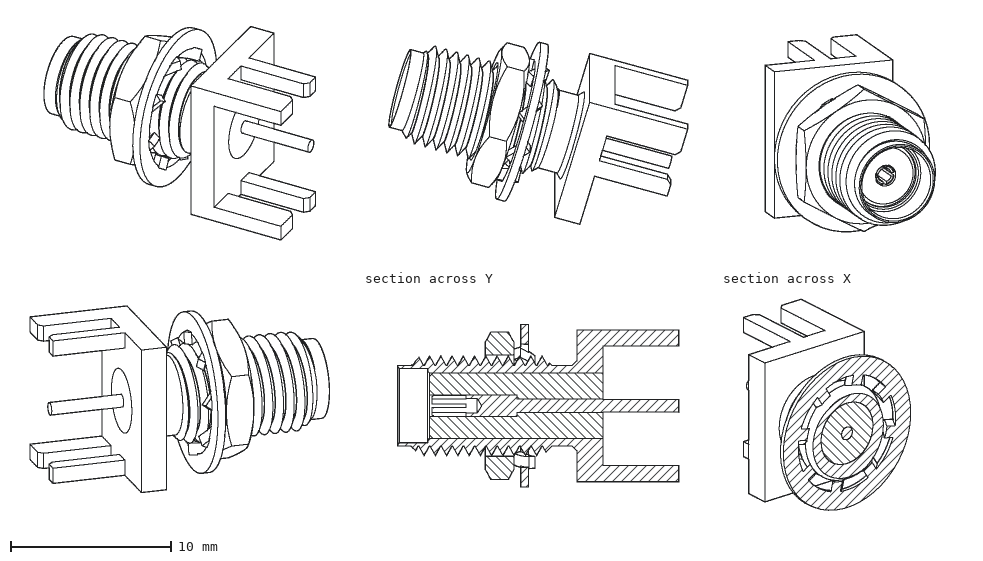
import cadquery as cq
import math

OVERALL_LENGTH = 17.58

BARREL_RADIUS = 5.05 / 2
RIM_RADIUS = 2.43
SOCKET_RADIUS = 2.3
SOCKET_DEPTH = 1.88
INSULATOR_RADIUS = 2.04
LEDGE_CHAMFER = 0.1
FLARE = 0.3

THREAD_PITCH = 0.7
THREAD_RADIUS = 3.13
THREAD_START = 0.83
THREAD_END = 9.65
THREAD_CREST_X = 0.25
ROOT_GAP = 0.01
ROOT_OVERLAP = 0.02

FLANGE_X = 11.2
FLANGE_THICKNESS = 1.65
FLANGE_WIDTH = 7.91
FLANGE_HEIGHT = 9.5
LEG_THICKNESS = 1.02
WIDE_LEG_WIDTH = 1.85
NARROW_LEG_LOW_Y = -0.42
NARROW_LEG_HIGH_Y = 0.65
LEG_CHAMFER = 0.3

NUT_X = 5.47
NUT_THICKNESS = 1.81
NUT_ACROSS_FLATS = 8.0
NUT_CHAMFER_ANGLE = 30.0
NUT_CLEARANCE = 0.02

WASHER_RADIUS = 10.18 / 2
WASHER_THICKNESS = 0.51
WASHER_X = 7.68
WASHER_ROTATION = 13.5
TOOTH_COUNT = 8
TOOTH_OUTER_RADIUS = 3.94
TOOTH_INNER_RADIUS = 3.18
TOOTH_ROOT_OVERLAP = 0.09
TOOTH_LENGTH = 1.46
TOOTH_TWIST = 39.0

INSULATOR_X = 1.99
INSULATOR_FACE_RADIUS = 1.83

PIN_RADIUS = 0.4
CONTACT_RADIUS = 0.67
CONTACT_RECESS = 0.18
CONTACT_LENGTH = 5.27
CONTACT_CHAMFER = 0.09
CONTACT_BORE_RADIUS = 0.44
CONTACT_BORE_DEPTH = 2.81
DRILL_POINT_ANGLE = 118.0
SLOT_WIDTH = 0.21
SLOT_DEPTH = 2.11

FLANGE_BACK = FLANGE_X + FLANGE_THICKNESS
NUT_BORE_RADIUS = THREAD_RADIUS + NUT_CLEARANCE
CONTACT_X = INSULATOR_X + CONTACT_RECESS
CONTACT_END = CONTACT_X + CONTACT_LENGTH


def turned(points):
    """Solid of revolution about the X axis from an outline of (x, radius) points."""
    return cq.Workplane("XZ").polyline(points).close().revolve(360, (0, 0, 0), (1, 0, 0))


def rod(radius, start, end):
    """Plain cylinder along the X axis."""
    return turned([(start, 0), (start, radius), (end, radius), (end, 0)])


def make_thread_ridge():
    """Helical V ridge, its base sunk into the barrel, running past both thread ends."""
    length = THREAD_END - THREAD_CREST_X + THREAD_PITCH
    half_base = (THREAD_PITCH - ROOT_GAP) / 2
    base_radius = BARREL_RADIUS - ROOT_OVERLAP
    profile = [(base_radius, -half_base), (THREAD_RADIUS, 0), (base_radius, half_base)]

    helices = []
    for radius, offset in profile:
        start = cq.Vector(0, 0, THREAD_CREST_X + offset)
        helices.append(cq.Wire.makeHelix(THREAD_PITCH, length, radius, center=start).Edges()[0])
    faces = []
    for helix, next_helix in zip(helices, helices[1:] + helices[:1]):
        faces.append(cq.Face.makeRuledSurface(helix, next_helix))
    for end in (0, 1):
        corners = [helix.positionAt(end) for helix in helices]
        faces.append(cq.Face.makeFromWires(cq.Wire.makePolygon(corners, close=True)))
    ridge = cq.Workplane(cq.Solid.makeSolid(cq.Shell.makeShell(faces)))
    return ridge.rotate((0, 0, 0), (0, 1, 0), 90)


def make_thread():
    """Thread ridge run out at both ends by 45 degree cones."""
    limit_radius = THREAD_RADIUS + THREAD_PITCH
    run_out = limit_radius - BARREL_RADIUS
    envelope = turned([
        (THREAD_START, 0),
        (THREAD_START, BARREL_RADIUS),
        (THREAD_START + run_out, limit_radius),
        (THREAD_END - run_out, limit_radius),
        (THREAD_END, BARREL_RADIUS),
        (THREAD_END, 0),
    ])
    return make_thread_ridge().intersect(envelope)


def make_leg(low_y, high_y, chamfered_y, side):
    """One leg behind the flange; side is 1 for the top leg and -1 for the bottom leg.

    The end corner on the chamfered_y side ("<Y" or ">Y") is cut off.
    """
    length = OVERALL_LENGTH - FLANGE_BACK
    return (
        cq.Workplane()
        .box(length, high_y - low_y, LEG_THICKNESS)
        .faces(">X").edges(chamfered_y).chamfer(LEG_CHAMFER)
        .translate((
            FLANGE_BACK + length / 2,
            (low_y + high_y) / 2,
            side * (FLANGE_HEIGHT - LEG_THICKNESS) / 2,
        ))
    )


def make_housing():
    """Threaded barrel, square flange and four legs, bored through for the insulator."""
    barrel = turned([
        (0, 0),
        (0, BARREL_RADIUS),
        (FLANGE_X - FLARE, BARREL_RADIUS),
        (FLANGE_X, BARREL_RADIUS + FLARE),
        (FLANGE_X, 0),
    ])
    flange = cq.Workplane().box(FLANGE_THICKNESS, FLANGE_WIDTH, FLANGE_HEIGHT)
    flange = flange.translate((FLANGE_X + FLANGE_THICKNESS / 2, 0, 0))
    housing = barrel.union(make_thread()).union(flange)

    wide_low_y = -FLANGE_WIDTH / 2
    wide_high_y = wide_low_y + WIDE_LEG_WIDTH
    for side in (1, -1):
        housing = housing.union(make_leg(wide_low_y, wide_high_y, ">Y", side))
        housing = housing.union(make_leg(NARROW_LEG_LOW_Y, NARROW_LEG_HIGH_Y, "<Y", side))

    rim_chamfer = RIM_RADIUS - SOCKET_RADIUS
    bore = turned([
        (0, 0),
        (0, RIM_RADIUS),
        (rim_chamfer, SOCKET_RADIUS),
        (SOCKET_DEPTH, SOCKET_RADIUS),
        (SOCKET_DEPTH, INSULATOR_RADIUS + LEDGE_CHAMFER),
        (SOCKET_DEPTH + LEDGE_CHAMFER, INSULATOR_RADIUS),
        (FLANGE_BACK, INSULATOR_RADIUS),
        (FLANGE_BACK, 0),
    ])
    return housing.cut(bore)


def make_nut():
    """Hexagon nut with corners at +Z and -Z, chamfered on both faces."""
    corner_radius = NUT_ACROSS_FLATS / math.sqrt(3)
    face_radius = NUT_ACROSS_FLATS / 2
    chamfer_length = (corner_radius - face_radius) * math.tan(math.radians(NUT_CHAMFER_ANGLE))
    nut_end = NUT_X + NUT_THICKNESS
    prism = (
        cq.Workplane("YZ", origin=(NUT_X, 0, 0))
        .polygon(6, 2 * corner_radius)
        .extrude(NUT_THICKNESS)
        .rotate((0, 0, 0), (1, 0, 0), 90)
    )
    envelope = turned([
        (NUT_X, 0),
        (NUT_X, face_radius),
        (NUT_X + chamfer_length, corner_radius),
        (nut_end - chamfer_length, corner_radius),
        (nut_end, face_radius),
        (nut_end, 0),
    ])
    return prism.intersect(envelope).cut(rod(NUT_BORE_RADIUS, NUT_X, nut_end))


def make_washer():
    """Flat ring with twisted teeth pointing inward."""
    ring_end = WASHER_X + WASHER_THICKNESS
    ring_bore = rod(TOOTH_OUTER_RADIUS - TOOTH_ROOT_OVERLAP, WASHER_X, ring_end)
    washer = rod(WASHER_RADIUS, WASHER_X, ring_end).cut(ring_bore)

    tooth_zone = rod(TOOTH_OUTER_RADIUS, WASHER_X - TOOTH_LENGTH, ring_end + TOOTH_LENGTH)
    clearance = rod(TOOTH_INNER_RADIUS, WASHER_X - TOOTH_LENGTH, ring_end + TOOTH_LENGTH)
    tooth = (
        cq.Workplane()
        .box(WASHER_THICKNESS, TOOTH_LENGTH, 2 * WASHER_RADIUS, centered=(True, True, False))
        .rotate((0, 0, 0), (0, 0, 1), -TOOTH_TWIST)
        .translate((WASHER_X + WASHER_THICKNESS / 2, 0, 0))
        .intersect(tooth_zone)
        .cut(clearance)
    )
    for index in range(TOOTH_COUNT):
        washer = washer.union(tooth.rotate((0, 0, 0), (1, 0, 0), index * 360 / TOOTH_COUNT))
    return washer.rotate((0, 0, 0), (1, 0, 0), WASHER_ROTATION)


def make_insulator():
    """Dielectric that fills the housing bore, with a tapered front and a stepped hole for the pin."""
    taper = INSULATOR_RADIUS - INSULATOR_FACE_RADIUS
    return turned([
        (INSULATOR_X, CONTACT_RADIUS),
        (INSULATOR_X, INSULATOR_FACE_RADIUS),
        (INSULATOR_X + taper, INSULATOR_RADIUS),
        (FLANGE_BACK, INSULATOR_RADIUS),
        (FLANGE_BACK, PIN_RADIUS),
        (CONTACT_END, PIN_RADIUS),
        (CONTACT_END, CONTACT_RADIUS),
    ])


def make_pin():
    """Centre contact: a drilled socket in front and a thinner solder tail behind the flange."""
    drill_point = CONTACT_BORE_RADIUS / math.tan(math.radians(DRILL_POINT_ANGLE / 2))
    bore_end = CONTACT_X + CONTACT_BORE_DEPTH
    pin = turned([
        (CONTACT_X, CONTACT_BORE_RADIUS),
        (CONTACT_X, CONTACT_RADIUS - CONTACT_CHAMFER),
        (CONTACT_X + CONTACT_CHAMFER, CONTACT_RADIUS),
        (CONTACT_END, CONTACT_RADIUS),
        (CONTACT_END, PIN_RADIUS),
        (OVERALL_LENGTH, PIN_RADIUS),
        (OVERALL_LENGTH, 0),
        (bore_end + drill_point, 0),
        (bore_end, CONTACT_BORE_RADIUS),
    ])
    slot = (
        cq.Workplane()
        .box(SLOT_DEPTH, 2 * CONTACT_RADIUS, SLOT_WIDTH, centered=(False, True, True))
        .translate((CONTACT_X, 0, 0))
    )
    for angle in (0, 90):
        pin = pin.cut(slot.rotate((0, 0, 0), (1, 0, 0), angle))
    return pin


housing = make_housing()
nut = make_nut()
washer = make_washer()
insulator = make_insulator()
pin = make_pin()

result = cq.Compound.makeCompound([
    housing.solids().val(),
    nut.solids().val(),
    washer.solids().val(),
    insulator.solids().val(),
    pin.solids().val(),
])